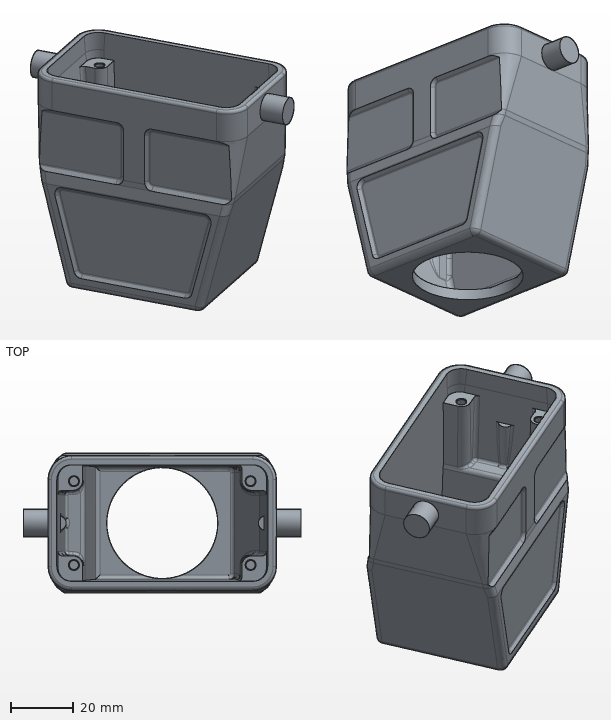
import cadquery as cq
length = 89.2
height = 72.1
width = 45.0
half_width = width / 2

collar_bottom_z = 61.4
blend_top_z = 41.3
blend_bottom_z = 39.4
skirt_top_z = 35.5

collar_half_x = 36.7
collar_half_y = 21.6
collar_radius = 7.6
blend_top_half_x = 34.5
blend_bottom_half_x = 34.2
blend_bottom_half_y = 21.8
base_half_x = 23.9
skirt_half_x = base_half_x + (blend_bottom_half_x - base_half_x) * skirt_top_z / blend_bottom_z
blend_radius = 2.8
skirt_radius = 2.5
base_fillet = 2.1
rim_fillet = 1.1

floor_z = 3.6
shelf_z = 39.25
wall_break_z = 66.0
rim_inner_half_x = 33.9
rim_inner_half_y = 18.7
rim_inner_radius = 5.0
break_inner_half_x = 33.7
break_inner_radius = 4.5
shelf_inner_half_x = 31.2
shelf_inner_radius = 1.8
floor_half_x = 23.0
floor_half_y = 18.0
shelf_edge_x = 24.9
floor_left_x = 21.2
floor_fillet = 1.4
shelf_edge_round = 1.6
shelf_corner_fillet = 1.1
cable_hole_diameter = 35.6

post_top_z = 63.1
post_inner_x = 25.6
post_inner_y = 10.5
post_corner_radius = 3.0
post_draft = 0.7
post_root_fillet = 1.3
screw_x = 28.4
screw_y = 13.5
screw_diameter = 2.9
screw_depth = 13.4
screw_mouth_diameter = 3.5
boss_top_z = 55.0
boss_radius = 2.3
boss_x = 33.2

pin_diameter = 8.9
pin_z = 65.9
pin_root_x = 34.3

recess_depth = 1.1
recess_floor_fillet = 0.5
rib_half_width = 3.5
window_corner_radius = 2.85
window_wall_angle = 50.0
panel_top_z = 35.15
panel_bottom_z = 4.4
panel_top_half_x = 28.45
panel_bottom_half_x = 20.3
panel_corner_radius = 2.7
panel_wall_angle = 50.0


def rectangle(z, x_min, x_max, half_y):
    """Closed wire of a rectangle lying at height z."""
    centre = ((x_min + x_max) / 2, 0, z)
    return cq.Workplane("XY", origin=centre).rect(x_max - x_min, 2 * half_y).val()


def centred_section(z, half_x, half_y, radius):
    """Rectangle about the Z axis with all four corners rounded."""
    outline = rectangle(z, -half_x, half_x, half_y)
    return outline.fillet2D(radius, outline.Vertices())


def well_section(z, x_min, x_max, half_y):
    """Rectangle with only its +X corners rounded."""
    outline = rectangle(z, x_min, x_max, half_y)
    rounded_corners = [corner for corner in outline.Vertices() if corner.X > 0]
    return outline.fillet2D(shelf_inner_radius, rounded_corners)


def loft_between(lower, upper):
    return cq.Workplane(obj=cq.Solid.makeLoft([lower, upper], True))


def stacked_loft(sections):
    """Straight-sided stack through the sections, listed from bottom to top."""
    stack = loft_between(sections[0], sections[1])
    for lower, upper in zip(sections[1:], sections[2:]):
        stack = stack.union(loft_between(lower, upper))
    return stack


def outer_shell():
    shell = stacked_loft([
        centred_section(0, base_half_x, half_width, skirt_radius),
        centred_section(skirt_top_z, skirt_half_x, half_width, skirt_radius),
        centred_section(blend_bottom_z, blend_bottom_half_x, blend_bottom_half_y, blend_radius),
        centred_section(blend_top_z, blend_top_half_x, collar_half_y, blend_radius),
        centred_section(collar_bottom_z, collar_half_x, collar_half_y, collar_radius),
        centred_section(height, collar_half_x, collar_half_y, collar_radius),
    ])
    return shell.faces(">Z").edges().fillet(rim_fillet).faces("<Z").edges().fillet(base_fillet)


def screw_post(side_x, side_y):
    """Corner post with a rounded inner corner, widening towards its foot."""
    reach_x = length / 2
    reach_y = width
    return (
        cq.Workplane("XY", origin=(0, 0, post_top_z))
        .center(side_x * (post_inner_x + reach_x) / 2, side_y * (post_inner_y + reach_y) / 2)
        .sketch()
        .rect(reach_x - post_inner_x, reach_y - post_inner_y)
        .vertices()
        .fillet(post_corner_radius)
        .finalize()
        .extrude(-post_top_z, taper=-post_draft)
    )


def guide_boss(side_x):
    return (
        cq.Workplane("XY")
        .center(side_x * boss_x, 0)
        .circle(boss_radius)
        .extrude(boss_top_z)
    )


def nearest(point):
    return cq.selectors.NearestToPointSelector(point)


def inner_half_y(z):
    """Half width of the cavity, whose long walls lean evenly from floor to rim."""
    return floor_half_y + (rim_inner_half_y - floor_half_y) * (z - floor_z) / (height - floor_z)


def bare_cavity():
    """Full length above the shelf; below it a shorter well with a solid block on the -X side."""
    upper = stacked_loft([
        centred_section(shelf_z, shelf_inner_half_x, inner_half_y(shelf_z), shelf_inner_radius),
        centred_section(wall_break_z, break_inner_half_x, inner_half_y(wall_break_z), break_inner_radius),
        centred_section(height, rim_inner_half_x, rim_inner_half_y, rim_inner_radius),
    ])
    well = loft_between(
        well_section(floor_z, -floor_left_x, floor_half_x, floor_half_y),
        well_section(shelf_z, -shelf_edge_x, shelf_inner_half_x, inner_half_y(shelf_z)),
    )
    well = well.faces("<Z").edges().fillet(floor_fillet)
    return upper.union(well).edges(nearest((-shelf_edge_x, 0, shelf_z))).fillet(shelf_edge_round)


def cavity():
    """Inner space less the screw posts and guide bosses, with the roots of both rounded."""
    space = bare_cavity()
    for side_x in (-1, 1):
        for side_y in (-1, 1):
            space = space.cut(screw_post(side_x, side_y))

    above_shelf = (shelf_inner_half_x + 0.9, post_inner_y, (shelf_z + post_top_z) / 2)
    below_shelf = (shelf_inner_half_x - 1.3, post_inner_y, shelf_z - 5.35)
    long_wall_root = (post_inner_x, rim_inner_half_y, shelf_z)
    left_root = (-above_shelf[0], above_shelf[1], above_shelf[2])
    post_roots = []
    for x, y, z in (above_shelf, below_shelf, long_wall_root, left_root):
        for side_y in (-1, 1):
            post_roots.append(space.edges(nearest((x, side_y * y, z))).val())
    space = space.newObject([space.val().fillet(post_root_fillet, post_roots)])

    space = space.edges(nearest((-shelf_inner_half_x, 0, shelf_z))).fillet(shelf_corner_fillet)
    for side_x in (-1, 1):
        space = space.cut(guide_boss(side_x))
    boss_foot = (boss_radius - boss_x, 0, shelf_z)
    return space.edges(nearest(boss_foot)).fillet(shelf_corner_fillet)


def window_recess(side_x):
    """Recess in the -Y face between the central rib and one end, open at that end."""
    reach = length / 2
    window_height = collar_bottom_z - blend_bottom_z
    return (
        cq.Workplane("XZ", origin=(0, -blend_bottom_half_y, 0))
        .center(side_x * (rib_half_width + reach) / 2, (collar_bottom_z + blend_bottom_z) / 2)
        .sketch()
        .rect(reach - rib_half_width, window_height)
        .vertices()
        .fillet(window_corner_radius)
        .finalize()
        .extrude(-(blend_bottom_half_y - collar_half_y + recess_depth), taper=window_wall_angle)
        .faces(">Y")
        .edges()
        .fillet(recess_floor_fillet)
    )


def panel_recess():
    """Trapezoidal recess in the -Y face of the skirt."""
    return (
        cq.Workplane("XZ", origin=(0, -half_width, 0))
        .sketch()
        .polygon([
            (-panel_bottom_half_x, panel_bottom_z),
            (panel_bottom_half_x, panel_bottom_z),
            (panel_top_half_x, panel_top_z),
            (-panel_top_half_x, panel_top_z),
            (-panel_bottom_half_x, panel_bottom_z),
        ])
        .vertices()
        .fillet(panel_corner_radius)
        .finalize()
        .extrude(-recess_depth, taper=panel_wall_angle)
        .faces(">Y")
        .edges()
        .fillet(recess_floor_fillet)
    )


def locking_pin(side_x):
    return (
        cq.Workplane("YZ", origin=(side_x * pin_root_x, 0, pin_z))
        .circle(pin_diameter / 2)
        .extrude(side_x * (length / 2 - pin_root_x))
    )


screw_points = [(sx * screw_x, sy * screw_y) for sx in (-1, 1) for sy in (-1, 1)]

result = outer_shell().cut(cavity())
for recess in (window_recess(-1), window_recess(1), panel_recess()):
    result = result.cut(recess).cut(recess.mirror("XZ", (0, 0, 0)))
for pin_side in (-1, 1):
    result = result.union(locking_pin(pin_side))
result = result.cut(cq.Workplane("XY").circle(cable_hole_diameter / 2).extrude(shelf_z))

result = (
    result.copyWorkplane(cq.Workplane("XY", origin=(0, 0, post_top_z)))
    .pushPoints(screw_points)
    .cskHole(screw_diameter, screw_mouth_diameter, 90, screw_depth)
)